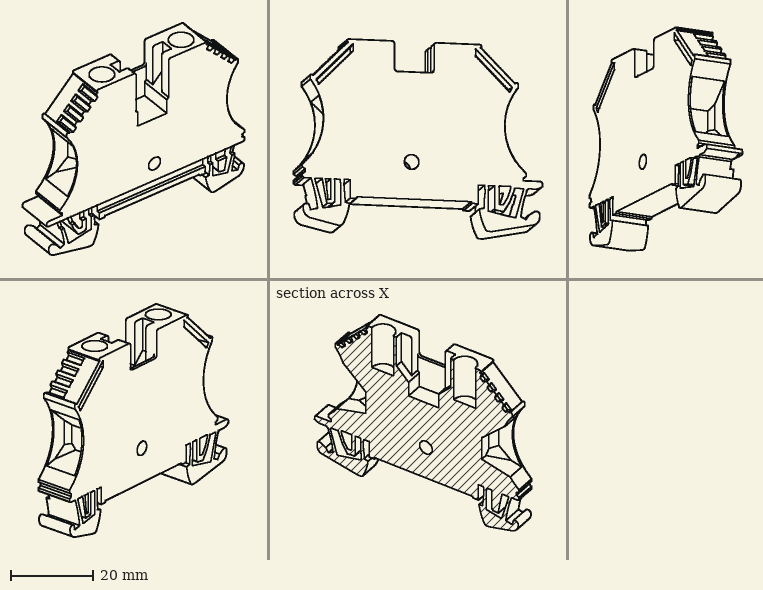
import cadquery as cq
import math

thickness = 9.9
height = 46.25
body_centre_y = 2.05

notch_half_width = 4.9
notch_floor_z = 38.75
notch_edge_radius = 0.7
shoulder_sum = 62.1
brow_outer = 16.8
brow_bottom_z = 45.4
shoulder_bottom_z = 37.15
side_arc_centre_z = 26.4
side_arc_radius = 15.25
side_arc_waist = 22.6
lip_outer = 26.0
side_arc_top_z = 35.7
side_arc_bottom_z = 15.1
rib_outer = 27.95
underside_z = 11.4
base_half_width = 16.0
base_z = 7.2
base_pad_width = 1.55
base_pad_height = 0.4

trough_wall = 0.85
trough_half_length = 4.4
trough_floor_z = 30.0
slot_left = 3.4
slot_width = 3.6
slot_end = 7.9
slot_end_z = 37.6

screw_x = 5.45
screw_offset = 12.0
screw_radius = 3.1
screw_depth = 12.0

funnel_left = 0.55
funnel_right = 9.5
funnel_back_left = 2.4
funnel_back_right = 8.45
funnel_back = 17.05
funnel_taper_depth = 1.7
funnel_mouth_top_z = 32.05
funnel_mouth_bottom_z = 17.65
funnel_back_top_z = 26.0
funnel_back_bottom_z = 19.6
funnel_corner_start = 22.3
funnel_corner_start_z = 18.35
funnel_corner_left = (3.2, 3.2)
funnel_corner_right = (2.2, 2.6)

groove_count = 4
groove_left = 4.5
groove_top_z = 44.35
groove_pitch_z = 2.15
groove_height_z = 1.45
groove_depth = 1.1
groove_wall_lean = 20.0

marker_depth = 3.0

pivot_y = 2.7
pivot_z = 16.45
pivot_radius = 1.8
rail_groove_left = 8.95
rail_groove_bottom_z = 8.8
flange_tip_y = -30.0
flange_top_z = 12.95
flange_bottom_z = 11.0
flange_tip_radius = 0.8
finger_pocket_depth = 4.8

overlap = 0.6


def side_arc_distance(z):
    """Distance of the concave side from the mirror plane at level z."""
    rise = z - side_arc_centre_z
    return side_arc_waist + side_arc_radius - math.sqrt(side_arc_radius**2 - rise**2)


def plate(points, start=0.0, end=thickness):
    """Closed (y, z) outline extruded along X from start to end."""
    return cq.Workplane("YZ", origin=(start, 0, 0)).polyline(points).close().extrude(end - start)


def rounded_plate(points, radius):
    return plate(points).edges("|X").fillet(radius)


def tetrahedron(a, b, c, d):
    corners = [cq.Vector(*p) for p in (a, b, c, d)]
    faces = []
    for skipped in range(4):
        triangle = corners[:skipped] + corners[skipped + 1:]
        faces.append(cq.Face.makeFromWires(cq.Wire.makePolygon(triangle, close=True)))
    return cq.Workplane(cq.Solid.makeSolid(cq.Shell.makeShell(faces)))


def half_outline():
    r = notch_edge_radius
    corner = r * (1 - math.sqrt(0.5))
    return (
        cq.Workplane("YZ")
        .moveTo(0, base_z)
        .lineTo(0, notch_floor_z)
        .lineTo(notch_half_width - r, notch_floor_z)
        .threePointArc((notch_half_width - corner, notch_floor_z + corner),
                       (notch_half_width, notch_floor_z + r))
        .lineTo(notch_half_width, height - r)
        .threePointArc((notch_half_width + corner, height - corner), (notch_half_width + r, height))
        .lineTo(brow_outer - 0.55, height)
        .threePointArc((brow_outer - 0.2, height - 0.1), (brow_outer, height - 0.5))
        .lineTo(shoulder_sum - brow_bottom_z - 0.2, brow_bottom_z)
        .lineTo(shoulder_sum - brow_bottom_z, brow_bottom_z)
        .lineTo(shoulder_sum - shoulder_bottom_z + 0.25, shoulder_bottom_z - 0.25)
        .lineTo(lip_outer - 0.6, shoulder_bottom_z)
        .threePointArc((lip_outer - 0.1, shoulder_bottom_z - 0.1), (lip_outer, shoulder_bottom_z - 0.55))
        .lineTo(lip_outer, side_arc_top_z + 0.2)
        .lineTo(side_arc_distance(side_arc_top_z), side_arc_top_z)
        .threePointArc((side_arc_waist, side_arc_centre_z),
                       (side_arc_distance(side_arc_bottom_z), side_arc_bottom_z))
        .lineTo(rib_outer, side_arc_bottom_z - 0.35)
        .lineTo(rib_outer, 14.05)
        .lineTo(rib_outer - 0.7, 13.6)
        .lineTo(rib_outer - 0.7, 12.9)
        .lineTo(rib_outer, 12.5)
        .lineTo(rib_outer, underside_z + 0.35)
        .lineTo(rib_outer - 0.4, underside_z)
        .lineTo(base_half_width, underside_z)
        .lineTo(base_half_width, base_z - base_pad_height)
        .lineTo(base_half_width - base_pad_width, base_z - base_pad_height)
        .lineTo(base_half_width - base_pad_width - 0.25, base_z)
        .close()
    )


def trough_and_slot():
    slope = slot_end_z - slot_end
    trough = plate(
        [(-overlap, trough_floor_z), (trough_half_length, trough_floor_z),
         (trough_half_length, trough_half_length + slope),
         (notch_half_width, notch_half_width + slope),
         (notch_half_width, height - 2 * notch_edge_radius), (-overlap, height)],
        trough_wall, thickness + overlap)
    slot = plate(
        [(trough_half_length, trough_half_length + slope), (slot_end, slot_end_z),
         (slot_end, height + overlap), (trough_half_length, height + overlap)],
        slot_left, slot_left + slot_width)
    return trough.union(slot)


def screw_hole():
    top = cq.Workplane("XY", origin=(screw_x, screw_offset, height - screw_depth))
    return top.circle(screw_radius).extrude(screw_depth + overlap)


def funnel():
    mouth_top = side_arc_distance(funnel_mouth_top_z)
    mouth_bottom = side_arc_distance(funnel_mouth_bottom_z)
    outside = lip_outer + overlap
    side_profile = plate(
        [(funnel_back, funnel_back_bottom_z), (mouth_bottom, funnel_mouth_bottom_z),
         (outside, funnel_mouth_bottom_z), (outside, funnel_mouth_top_z),
         (mouth_top, funnel_mouth_top_z), (funnel_back, funnel_back_top_z)])
    taper_start = funnel_back + funnel_taper_depth
    plan = (
        cq.Workplane("XY")
        .polyline([(funnel_left, outside), (funnel_left, taper_start), (funnel_back_left, funnel_back),
                   (funnel_back_right, funnel_back), (funnel_right, taper_start), (funnel_right, outside)])
        .close().extrude(height)
    )
    cutter = side_profile.intersect(plan)
    for side_x, inward, (width, rise) in (
        (funnel_left, 1, funnel_corner_left), (funnel_right, -1, funnel_corner_right)
    ):
        base_corner = (side_x, funnel_back, funnel_back_bottom_z)
        facet = tetrahedron(
            (side_x, funnel_corner_start, funnel_corner_start_z), base_corner,
            (side_x + inward * width, funnel_back, funnel_back_bottom_z),
            (side_x, funnel_back, funnel_back_bottom_z + rise))
        cutter = cutter.cut(facet)
    return cutter


def grip_grooves():
    half_mouth = groove_height_z / math.sqrt(2)
    lean = math.tan(math.radians(groove_wall_lean))
    half_floor = half_mouth - groove_depth * lean
    half_outside = half_mouth + overlap * lean
    groove = (
        plate([(-half_floor, -groove_depth), (half_floor, -groove_depth),
               (half_outside, overlap), (-half_outside, overlap)], groove_left, thickness + overlap)
        .rotate((0, 0, 0), (1, 0, 0), -45)
    )
    cutters = cq.Workplane("XY")
    for i in range(groove_count):
        z = groove_top_z - i * groove_pitch_z
        cutters = cutters.union(groove.translate((0, shoulder_sum - z, z)))
    return cutters


def marker_pocket():
    return (
        cq.Workplane("YZ")
        .polyline([(15.3, 45.1), (15.3, 43.3), (23.8, 34.75), (24.5, 35.95)]).close()
        .workplane(offset=marker_depth)
        .polyline([(15.3, 44.75), (15.3, 43.3), (23.65, 34.9), (24.1, 35.95)]).close()
        .loft(ruled=True)
    )


def housing():
    half = half_outline().extrude(thickness)
    for cutter in (trough_and_slot(), screw_hole(), funnel(), grip_grooves(), marker_pocket()):
        half = half.cut(cutter)
    return half.union(half.mirror("XZ")).translate((0, body_centre_y, 0))


def flange():
    root_y = -23.4
    return (
        cq.Workplane("YZ")
        .moveTo(root_y, flange_top_z)
        .lineTo(flange_tip_y + flange_tip_radius, flange_top_z)
        .radiusArc((flange_tip_y, flange_top_z - flange_tip_radius), -flange_tip_radius)
        .lineTo(flange_tip_y, 11.7)
        .lineTo(-29.2, 11.2)
        .lineTo(-28.45, flange_bottom_z)
        .lineTo(-23.15, flange_bottom_z)
        .lineTo(-21.9, underside_z + overlap)
        .close().extrude(thickness)
    )


def plus_y_foot():
    top = underside_z + 0.25
    outer = (
        cq.Workplane("YZ")
        .moveTo(27.95, top)
        .lineTo(27.7, 11.1)
        .threePointArc((26.7, 7.2), (26.15, 4.0))
        .lineTo(27.9, 3.55)
        .lineTo(28.3, 4.8)
        .threePointArc((29.15, 5.05), (29.8, 4.25))
        .threePointArc((29.45, 2.7), (28.15, 1.55))
        .lineTo(21.2, 0)
        .lineTo(20.5, 0)
        .threePointArc((20.05, 0.2), (19.7, 0.6))
        .threePointArc((18.7, 3.0), (18.2, 5.45))
        .lineTo(19.25, 5.75)
        .lineTo(19.6, 10.2)
        .lineTo(19.45, top)
        .close().extrude(thickness)
    )
    window = rounded_plate(
        [(26.95, underside_z), (24.85, 4.1), (20.4, 5.05), (20.4, 10.1), (20.6, underside_z)], 0.25)
    finger = plate([(25.1, top), (23.9, 5.2), (22.3, 5.4), (21.95, 5.75), (21.95, top)])
    pocket = plate([(24.2, underside_z), (23.6, 6.25), (22.85, 6.4), (22.85, underside_z)],
                   0, finger_pocket_depth)
    return outer.cut(window).union(finger).cut(pocket)


def minus_y_foot():
    top = underside_z + 0.25
    outer = (
        cq.Workplane("YZ")
        .moveTo(-26.45, top)
        .lineTo(-26.45, flange_bottom_z)
        .lineTo(-26.1, 10.5)
        .threePointArc((-25.2, 7.5), (-24.6, 4.0))
        .lineTo(-25.85, 3.35)
        .lineTo(-26.65, 4.55)
        .lineTo(-28.1, 5.45)
        .threePointArc((-28.85, 5.4), (-29.3, 4.8))
        .lineTo(-29.3, 4.1)
        .threePointArc((-28.85, 2.75), (-27.55, 2.05))
        .lineTo(-17.35, 0)
        .lineTo(-16.4, 0)
        .threePointArc((-15.95, 0.2), (-15.65, 0.65))
        .threePointArc((-14.7, 3.0), (-14.2, 5.45))
        .lineTo(-15.35, 5.8)
        .lineTo(-15.35, 7.15)
        .lineTo(-15.65, 9.85)
        .lineTo(-15.5, top)
        .close().extrude(thickness)
    )
    window = rounded_plate(
        [(-16.5, underside_z), (-16.4, 5.05), (-23.3, 3.65), (-25.3, flange_bottom_z),
         (-23.1, flange_bottom_z), (-22.9, underside_z)], 0.25)
    finger = plate(
        [(-18.0, top), (-18.0, 5.65), (-18.35, 5.35), (-20.35, 5.1), (-21.85, 7.5),
         (-23.1, flange_bottom_z), (-22.9, top)])
    finger_hole = rounded_plate([(-19.15, underside_z), (-22.15, underside_z), (-21.85, 10.25),
                                 (-21.2, 8.4), (-20.15, 6.8), (-19.2, 6.8)], 0.25)
    return outer.cut(window).union(finger).cut(finger_hole)


def pivot_hole():
    return cq.Workplane("YZ").center(pivot_y, pivot_z).circle(pivot_radius).extrude(thickness)


def rail_groove():
    length = 72.0
    return (
        cq.Workplane("XY", origin=(rail_groove_left, 0, rail_groove_bottom_z))
        .box(thickness, length, underside_z - rail_groove_bottom_z, centered=(False, True, False))
    )


result = housing().union(flange()).union(plus_y_foot()).union(minus_y_foot())
result = result.cut(pivot_hole()).cut(rail_groove())